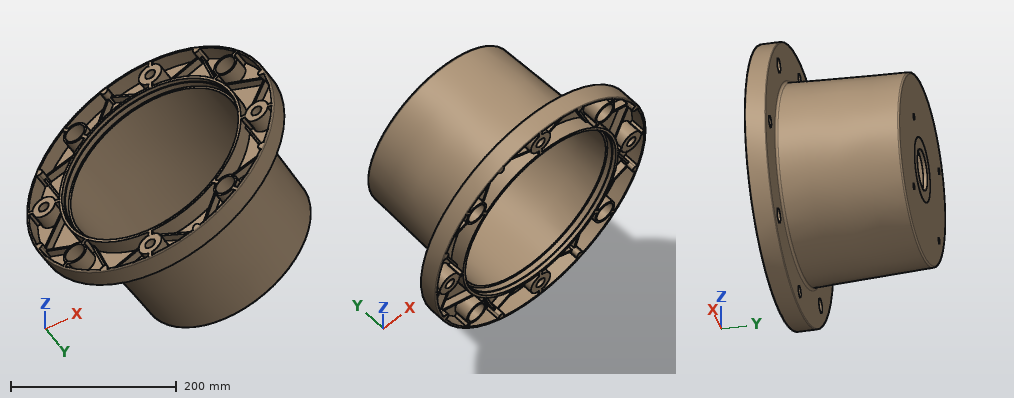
import cadquery as cq
import math


FLANGE_DIAMETER = 350.0
FLANGE_THICKNESS = 26.0
FLANGE_EDGE_FILLET = 1.0
RIM_THICKNESS = 3.0
POCKET_DEPTH = 20.5

TOTAL_DEPTH = 178.0
CUP_ROOT_DIAMETER = 250.0
CUP_BACK_DIAMETER = 238.0
CUP_WALL = 5.0
CUP_ROOT_FILLET = 3.0
CUP_BACK_FILLET = 2.0
CUP_INNER_FILLET = 2.0

HUB_DIAMETER = 257.5
OUTER_STEP_DIAMETER = 250.0
OUTER_STEP_DEPTH = 5.5
INNER_STEP_DIAMETER = 247.0
INNER_STEP_DEPTH = 13.3

BOSS_COUNT = 8
BOSS_PITCH_RADIUS = 150.5
BOSS_DIAMETER = 32.2
PLAIN_HOLE_DIAMETER = 14.0
STEPPED_HOLE_DIAMETER = 18.0
COUNTERBORE_DIAMETER = 27.0

RADIAL_RIB_WIDTH = 5.0
BRACE_WIDTH = 2.8
BRACE_HEIGHT = 10.0
BRACE_FOOT_OFFSET = 1.0
PAD_RADIUS = 4.2
PAD_PITCH_RADIUS = 169.8
PAD_FLANK_ANGLE = 22.5

RING_DIAMETER = 80.0
RING_BORE_DIAMETER = 50.8
BASE_HOLE_DIAMETER = 7.5
BASE_HOLE_CENTRE_X = -21.0
BASE_HOLE_SPACING_X = 128.0
BASE_HOLE_SPACING_Z = 98.7

flange_radius = FLANGE_DIAMETER / 2
rim_inner_radius = flange_radius - RIM_THICKNESS
rim_middle_radius = flange_radius - RIM_THICKNESS / 2
hub_middle_radius = (HUB_DIAMETER + OUTER_STEP_DIAMETER) / 4
cup_root_radius = CUP_ROOT_DIAMETER / 2
cup_back_radius = CUP_BACK_DIAMETER / 2
cup_taper = (cup_root_radius - cup_back_radius) / (TOTAL_DEPTH - FLANGE_THICKNESS)
base_inner_depth = TOTAL_DEPTH - CUP_WALL
boss_spacing_angle = 360 / BOSS_COUNT


def cup_outer_radius(depth):
    """Radius of the cup's tapered outside, continued forward through the flange."""
    return cup_root_radius - cup_taper * (depth - FLANGE_THICKNESS)


def turned(outline):
    """Solid of revolution about Y from a closed outline of (radius, depth) points."""
    return cq.Workplane("XY").polyline(outline).close().revolve(360, (0, 0, 0), (0, 1, 0))


def cylinder(diameter, front, back, centre=(0, 0)):
    """Cylinder parallel to Y around an (x, z) centre, from one depth to another."""
    x, z = centre
    return cq.Workplane("XZ", origin=(x, front, z)).circle(diameter / 2).extrude(front - back)


def polar_point(radius, degrees):
    """(x, z) point at a radius and an angle from +X towards +Z."""
    angle = math.radians(degrees)
    return radius * math.cos(angle), radius * math.sin(angle)


def bar(start, end, width, height):
    """Straight bar between two (x, z) points that stands up from the pocket floor."""
    run_x = end[0] - start[0]
    run_z = end[1] - start[1]
    middle = ((start[0] + end[0]) / 2, POCKET_DEPTH - height / 2, (start[1] + end[1]) / 2)
    slope = math.degrees(math.atan2(run_z, run_x))
    level_bar = cq.Workplane("XY").box(math.hypot(run_x, run_z), height, width)
    return level_bar.rotate((0, 0, 0), (0, 1, 0), -slope).translate(middle)


def make_shell():
    """Flange disc with the solid tapered cup behind it, before any hollowing."""
    flange = cylinder(FLANGE_DIAMETER, 0, FLANGE_THICKNESS)
    cup = turned([
        (0, FLANGE_THICKNESS),
        (cup_root_radius, FLANGE_THICKNESS),
        (cup_back_radius, TOTAL_DEPTH),
        (0, TOTAL_DEPTH),
    ])
    cup = cup.faces(">Y").edges().fillet(CUP_BACK_FILLET)
    shell = flange.union(cup)

    flange_back = cq.selectors.NearestToPointSelector((0, FLANGE_THICKNESS, 0))
    cup_root = cq.selectors.RadiusNthSelector(0)
    shell = shell.faces("|Y").faces(flange_back).edges(cup_root).fillet(CUP_ROOT_FILLET)

    flange_rims = cq.selectors.RadiusNthSelector(-1)
    return shell.edges(flange_rims).fillet(FLANGE_EDGE_FILLET)


def make_pocket():
    """Ring-shaped pocket in the flange's front, between the hub wall and the rim."""
    return cylinder(2 * rim_inner_radius, 0, POCKET_DEPTH).cut(cylinder(HUB_DIAMETER, 0, POCKET_DEPTH))


def make_cavity():
    """Inside of the cup: a tapered bore with two shallow steps at its mouth."""
    bore = turned([
        (0, 0),
        (cup_outer_radius(0) - CUP_WALL, 0),
        (cup_outer_radius(base_inner_depth) - CUP_WALL, base_inner_depth),
        (0, base_inner_depth),
    ])
    bore = bore.faces(">Y").edges().fillet(CUP_INNER_FILLET)
    outer_step = cylinder(OUTER_STEP_DIAMETER, 0, OUTER_STEP_DEPTH)
    inner_step = cylinder(INNER_STEP_DIAMETER, 0, INNER_STEP_DEPTH)
    return bore.union(inner_step).union(outer_step)


def make_boss(angle):
    """Round boss with a radial rib through it, flush with the flange's front face."""
    boss = cylinder(BOSS_DIAMETER, 0, POCKET_DEPTH, polar_point(BOSS_PITCH_RADIUS, angle))
    rib_start = polar_point(hub_middle_radius, angle)
    rib_end = polar_point(rim_middle_radius, angle)
    return boss.union(bar(rib_start, rib_end, RADIAL_RIB_WIDTH, POCKET_DEPTH))


def make_pad(angle):
    """Round-nosed pad against the rim, with flanks that open towards the rim."""
    flank = math.radians(PAD_FLANK_ANGLE)
    nose_x = -PAD_RADIUS * math.sin(flank)
    nose_z = PAD_RADIUS * math.cos(flank)
    rim_x = rim_middle_radius - PAD_PITCH_RADIUS
    rim_z = nose_z + (rim_x - nose_x) * math.tan(flank)
    pad = (
        cq.Workplane("XZ")
        .moveTo(rim_x, -rim_z)
        .lineTo(nose_x, -nose_z)
        .threePointArc((-PAD_RADIUS, 0), (nose_x, nose_z))
        .lineTo(rim_x, rim_z)
        .close()
        .extrude(-POCKET_DEPTH)
    )
    return pad.translate((PAD_PITCH_RADIUS, 0, 0)).rotate((0, 0, 0), (0, 1, 0), -angle)


def make_brace(boss_angle, side):
    """Low slanted brace from the foot of a radial rib to the pad on one side of it."""
    foot_angle = math.degrees(BRACE_FOOT_OFFSET / hub_middle_radius)
    foot = polar_point(hub_middle_radius, boss_angle + side * foot_angle)
    pad_centre = polar_point(PAD_PITCH_RADIUS, boss_angle + side * boss_spacing_angle / 2)
    return bar(foot, pad_centre, BRACE_WIDTH, BRACE_HEIGHT)


def make_boss_hole(index):
    """Through hole of one boss; every second one is counterbored down to the floor."""
    centre = polar_point(BOSS_PITCH_RADIUS, index * boss_spacing_angle)
    if index % 2 == 0:
        return cylinder(PLAIN_HOLE_DIAMETER, 0, FLANGE_THICKNESS, centre)
    hole = cylinder(STEPPED_HOLE_DIAMETER, 0, FLANGE_THICKNESS, centre)
    return hole.union(cylinder(COUNTERBORE_DIAMETER, 0, POCKET_DEPTH, centre))


def make_housing():
    """Flanged cup with its ribbed pocket, boss holes and pierced base."""
    housing = make_shell().cut(make_pocket()).cut(make_cavity())

    for index in range(BOSS_COUNT):
        boss_angle = index * boss_spacing_angle
        housing = housing.union(make_boss(boss_angle))
        housing = housing.union(make_pad(boss_angle + boss_spacing_angle / 2))
        for side in (-1, 1):
            housing = housing.union(make_brace(boss_angle, side))

    for index in range(BOSS_COUNT):
        housing = housing.cut(make_boss_hole(index))

    housing = housing.cut(cylinder(RING_DIAMETER, base_inner_depth, TOTAL_DEPTH))
    for side_x in (-1, 1):
        for side_z in (-1, 1):
            centre = (
                BASE_HOLE_CENTRE_X + side_x * BASE_HOLE_SPACING_X / 2,
                side_z * BASE_HOLE_SPACING_Z / 2,
            )
            housing = housing.cut(cylinder(BASE_HOLE_DIAMETER, base_inner_depth, TOTAL_DEPTH, centre))
    return housing


def make_ring():
    """Plain ring that fills the centre hole of the cup base, flush on both faces."""
    ring = cylinder(RING_DIAMETER, base_inner_depth, TOTAL_DEPTH)
    return ring.cut(cylinder(RING_BORE_DIAMETER, base_inner_depth, TOTAL_DEPTH))


housing = make_housing()
ring = make_ring()

result = cq.Compound.makeCompound([housing.solids().val(), ring.val()])